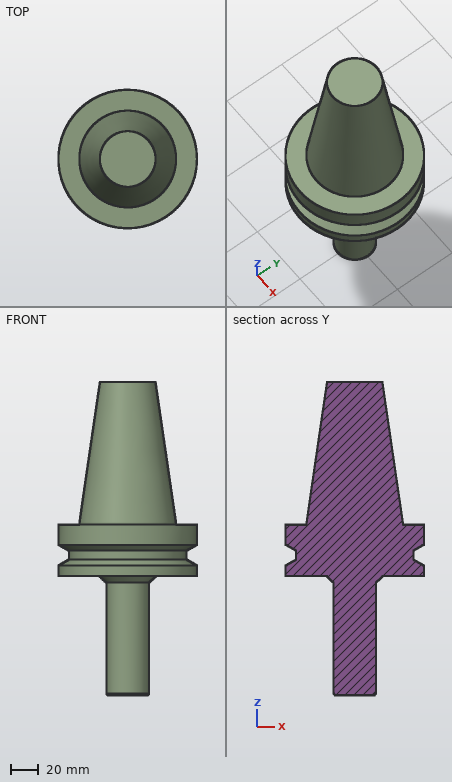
import cadquery as cq

total_length = 225.8
flange_diameter = 100.0
groove_diameter = 85.0
gauge_diameter = 69.8
shank_diameter = 31.0
collar_diameter = 41.0

tip_chamfer = 1.1
flange_bottom = 85.8
collar_height = 4.7
lower_rim_height = 7.7
groove_width = 6.3
groove_flank_height = 4.3
flange_height = 37.0
gauge_land = 1.4

taper_ratio = 7 / 24

flange_top = flange_bottom + flange_height
lower_rim_top = flange_bottom + lower_rim_height
groove_bottom = lower_rim_top + groove_flank_height
groove_top = groove_bottom + groove_width
upper_rim_bottom = groove_top + groove_flank_height
taper_base = flange_top + gauge_land
taper_tip_diameter = gauge_diameter - taper_ratio * (total_length - taper_base)

flange_radius = flange_diameter / 2
groove_radius = groove_diameter / 2
gauge_radius = gauge_diameter / 2
shank_radius = shank_diameter / 2

half_section = [
    (0, 0),
    (shank_radius - tip_chamfer, 0),
    (shank_radius, tip_chamfer),
    (shank_radius, flange_bottom - collar_height),
    (collar_diameter / 2, flange_bottom),
    (flange_radius, flange_bottom),
    (flange_radius, lower_rim_top),
    (groove_radius, groove_bottom),
    (groove_radius, groove_top),
    (flange_radius, upper_rim_bottom),
    (flange_radius, flange_top),
    (gauge_radius, flange_top),
    (gauge_radius, taper_base),
    (taper_tip_diameter / 2, total_length),
    (0, total_length),
]

result = (
    cq.Workplane("XZ")
    .polyline(half_section)
    .close()
    .revolve(360, (0, 0, 0), (0, 1, 0))
)